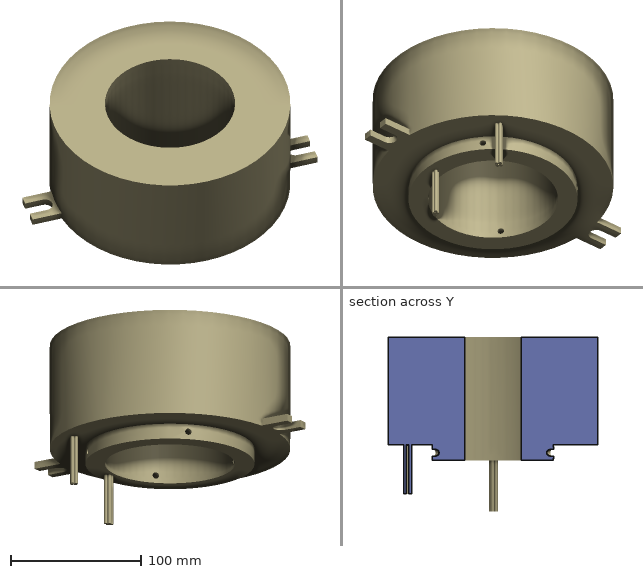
import cadquery as cq
import math

BODY_DIAMETER = 185.0
BODY_HEIGHT = 83.0
BORE_DIAMETER = 100.0

COLLAR_DIAMETER = 130.0
COLLAR_HEIGHT = 12.0
SCREW_HOLE_DIAMETER = 5.0
SCREW_HOLE_COUNT = 4
SCREW_HOLE_FIRST_ANGLE = 45.0

LUG_SPAN = 230.0
LUG_WIDTH = 26.0
LUG_THICKNESS = 5.5
SLOT_WIDTH = 12.0
SLOT_DEPTH = 20.0

WIRE_DIAMETER = 2.8
WIRE_PITCH = 2.75
WIRE_EMBED = 5.0

COLLAR_LEADS_CENTER = (0.3, 56.0)
COLLAR_LEADS_TIP = -51.0
COLLAR_LEADS_ROW_ANGLE = 0.0
COLLAR_LEADS_COLUMN_ANGLE = 120.0

HOUSING_LEADS_CENTER = (-65.5, 45.7)
HOUSING_LEADS_TIP = -37.7
HOUSING_LEADS_ROW_ANGLE = -50.0
HOUSING_LEADS_COLUMN_ANGLE = 40.0

body_radius = BODY_DIAMETER / 2
bore_radius = BORE_DIAMETER / 2
collar_radius = COLLAR_DIAMETER / 2


def make_housing():
    """Housing and collar, both pierced by the same bore."""
    housing = cq.Workplane("XY").circle(body_radius).circle(bore_radius).extrude(BODY_HEIGHT)
    collar = cq.Workplane("XY").circle(collar_radius).circle(bore_radius).extrude(-COLLAR_HEIGHT)
    return housing.union(collar)


def make_screw_hole(angle):
    """Radial cutter from the axis out through the collar wall, at half the collar height."""
    cutter = (
        cq.Workplane("YZ", origin=(0, 0, -COLLAR_HEIGHT / 2))
        .circle(SCREW_HOLE_DIAMETER / 2)
        .extrude(body_radius)
    )
    return cutter.rotate((0, 0, 0), (0, 0, 1), angle)


def make_lug(side):
    """Lug with an open round-ended slot; side is +1 or -1 along Y. Its root is buried in the housing wall."""
    tip = LUG_SPAN / 2
    root = (body_radius + bore_radius) / 2
    slot_radius = SLOT_WIDTH / 2
    slot_center = tip - SLOT_DEPTH + slot_radius
    return (
        cq.Workplane("XY")
        .moveTo(-LUG_WIDTH / 2, side * root)
        .lineTo(-LUG_WIDTH / 2, side * tip)
        .lineTo(-slot_radius, side * tip)
        .lineTo(-slot_radius, side * slot_center)
        .threePointArc((0, side * (tip - SLOT_DEPTH)), (slot_radius, side * slot_center))
        .lineTo(slot_radius, side * tip)
        .lineTo(LUG_WIDTH / 2, side * tip)
        .lineTo(LUG_WIDTH / 2, side * root)
        .close()
        .extrude(LUG_THICKNESS)
    )


def pitch_step(angle):
    """X and Y step of one wire pitch in the given direction."""
    radians = math.radians(angle)
    return WIRE_PITCH * math.cos(radians), WIRE_PITCH * math.sin(radians)


def make_leads(center, root, tip, row_angle, column_angle):
    """Bundle of four wires from just inside the face at Z = root down to Z = tip."""
    row_x, row_y = pitch_step(row_angle)
    column_x, column_y = pitch_step(column_angle)
    length = root + WIRE_EMBED - tip
    bundle = cq.Workplane("XY")
    for i in (-0.5, 0.5):
        for j in (-0.5, 0.5):
            x = center[0] + i * row_x + j * column_x
            y = center[1] + i * row_y + j * column_y
            wire = cq.Workplane("XY", origin=(x, y, tip)).circle(WIRE_DIAMETER / 2).extrude(length)
            bundle = bundle.union(wire)
    return bundle


result = make_housing()
for index in range(SCREW_HOLE_COUNT):
    angle = SCREW_HOLE_FIRST_ANGLE + index * 360 / SCREW_HOLE_COUNT
    result = result.cut(make_screw_hole(angle))
for side in (-1, 1):
    result = result.union(make_lug(side))

collar_leads = make_leads(
    COLLAR_LEADS_CENTER,
    -COLLAR_HEIGHT,
    COLLAR_LEADS_TIP,
    COLLAR_LEADS_ROW_ANGLE,
    COLLAR_LEADS_COLUMN_ANGLE,
)
housing_leads = make_leads(
    HOUSING_LEADS_CENTER,
    0,
    HOUSING_LEADS_TIP,
    HOUSING_LEADS_ROW_ANGLE,
    HOUSING_LEADS_COLUMN_ANGLE,
)
result = result.union(collar_leads).union(housing_leads)